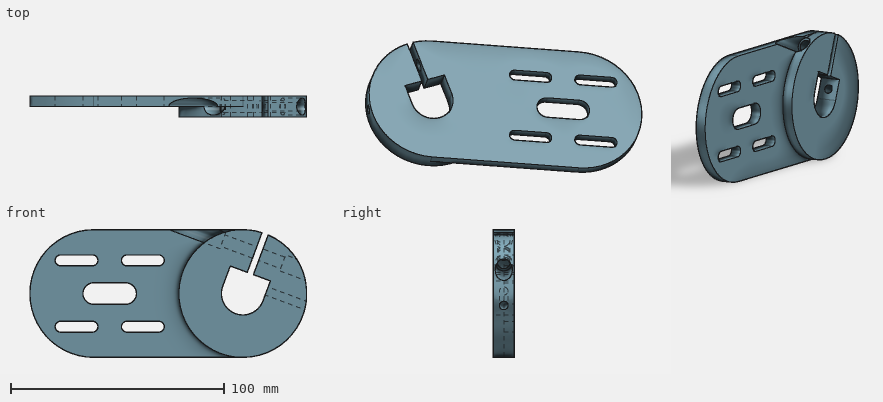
import cadquery as cq
import math

disc_radius = 30.0
disc_front_y = -5.0
back_y = 5.0

plate_front_y = 0.0
plate_end_x = -70.0

slot_group_x = -62.5
bolt_circle_diameter = 44.0
slot_pitch = bolt_circle_diameter / math.sqrt(2)
small_slot_length = 20.0
small_slot_width = 5.0
main_slot_length = 25.0
main_slot_width = 10.0

clamp_tilt = 20.4
bore_radius = 10.0
clamp_gap = 3.0

screw_height = 20.0
screw_diameter = 5.75
counterbore_diameter = 8.0
head_seat = -17.5
nut_seat = 12.5

set_screw_height = 5.0
set_screw_diameter = 4.0

cut_reach = 2 * disc_radius
thickness = back_y - disc_front_y


def slab(front_y):
    """Sketch plane facing -Y; positive extrusion goes from front_y towards -Y."""
    return cq.Workplane("XZ", origin=(0, front_y, 0))


def tilted(shape):
    """Turn a shape from the upright clamp frame into its place on the disc."""
    return shape.rotate((0, 0, 0), (0, 1, 0), clamp_tilt)


def make_body():
    """Flat plate with a rounded end, joined to the thicker clamp disc."""
    plate_thickness = back_y - plate_front_y
    span = (
        slab(back_y)
        .center(plate_end_x / 2, 0)
        .rect(-plate_end_x, 2 * disc_radius)
        .extrude(plate_thickness)
    )
    rounded_end = slab(back_y).center(plate_end_x, 0).circle(disc_radius).extrude(plate_thickness)
    disc = slab(back_y).circle(disc_radius).extrude(thickness)
    return span.union(rounded_end).union(disc)


def make_slots():
    """Cutter for all the plate slots, each lying along X."""
    main_slot = slab(back_y).center(slot_group_x, 0).slot2D(main_slot_length, main_slot_width)
    small_slots = (
        slab(back_y)
        .center(slot_group_x, 0)
        .rect(slot_pitch, slot_pitch, forConstruction=True)
        .vertices()
        .slot2D(small_slot_length, small_slot_width)
    )
    return main_slot.extrude(thickness).union(small_slots.extrude(thickness))


def make_keyed_bore():
    """Half-round bore with a square upper half, opened to the rim by the clamp gap."""
    bore = (
        slab(back_y)
        .moveTo(-bore_radius, bore_radius)
        .lineTo(-bore_radius, 0)
        .threePointArc((0, -bore_radius), (bore_radius, 0))
        .lineTo(bore_radius, bore_radius)
        .close()
        .extrude(thickness)
    )
    gap = slab(back_y).center(0, cut_reach / 2).rect(clamp_gap, cut_reach).extrude(thickness)
    return tilted(bore.union(gap))


def cross_hole(start, end, height, diameter):
    """Round hole across the disc, at mid thickness, between two distances from the gap."""
    mid_y = (disc_front_y + back_y) / 2
    hole = cq.Workplane("YZ", origin=(start, mid_y, height)).circle(diameter / 2).extrude(end - start)
    return tilted(hole)


def make_clamp_screw():
    """Screw hole with a counterbore at both ends; the head side also grooves the plate."""
    shank = cross_hole(head_seat, nut_seat, screw_height, screw_diameter)
    head = cross_hole(-cut_reach, head_seat, screw_height, counterbore_diameter)
    nut = cross_hole(nut_seat, cut_reach, screw_height, counterbore_diameter)
    return shank.union(head).union(nut)


def make_set_screw():
    """Plain hole from the open bore out through the rim on the +X side."""
    return cross_hole(0, cut_reach, set_screw_height, set_screw_diameter)


result = (
    make_body()
    .cut(make_slots())
    .cut(make_keyed_bore())
    .cut(make_clamp_screw())
    .cut(make_set_screw())
)